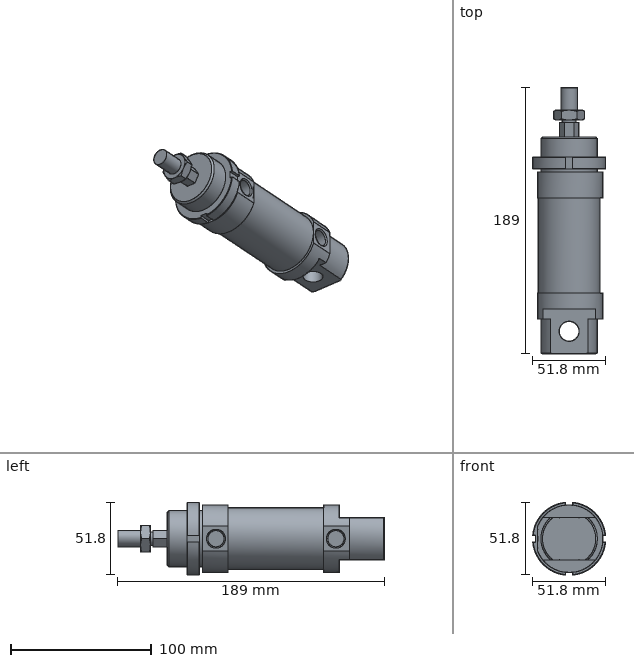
import cadquery as cq
import math

TOTAL_LENGTH = 189.0

TUBE_DIA = 44.0
CAP_DIA = 48.0
CAP_LENGTH = 18.3
REAR_CAP_START = 24.8
FRONT_CAP_START = 110.8
REAR_CAP_END = REAR_CAP_START + CAP_LENGTH
FRONT_CAP_END = FRONT_CAP_START + CAP_LENGTH

NOSE_DIA = 40.0
NOSE_END = 154.0
NOSE_CHAMFER = 1.3

EYE_DIA = NOSE_DIA
EYE_CHAMFER_LENGTH = 0.8
EYE_CHAMFER_DEPTH = 1.1
EYE_THICKNESS = 30.0
EYE_FLAT_LENGTH = 32.0
EYE_HOLE_DIA = 14.0
EYE_HOLE_Y = 16.0

PORT_FLAT_X = 22.3
PORT_DIA = 11.5
PORT_CHAMFER = 1.0
PORT_DEPTH = 9.5
PORT_OFFSET = 8.7

RING_DIA = 52.0
RING_START = 131.2
RING_LENGTH = 8.7
RING_CHAMFER = 0.4
SLOT_COUNT = 4
SLOT_WIDTH = 5.0
SLOT_DEPTH = 2.0

ROD_DIA = 12.0
ROD_HEX_FLATS = 12.0
ROD_HEX_END = 164.2
NECK_DIA = 9.8
THREAD_START = 167.0

NUT_FLATS = 19.0
NUT_START = 166.0
NUT_LENGTH = 7.0
NUT_END = NUT_START + NUT_LENGTH
NUT_CHAMFER_ANGLE = 30.0


def corner_diameter(flats):
    """Diameter over the corners of a hexagon with the given width across flats."""
    return flats / math.cos(math.radians(30))


def xz_plane(y):
    """Plane across the cylinder axis at y, with its normal along +Y."""
    return cq.Workplane(cq.Plane(origin=(0, y, 0), xDir=(1, 0, 0), normal=(0, 1, 0)))


def disc(diameter, start, end):
    """Round bar on the cylinder axis from start to end."""
    return xz_plane(start).circle(diameter / 2).extrude(end - start)


def hexagon(flats, start, end):
    """Hexagonal bar with corners on the X axis and flats facing +Z and -Z."""
    return xz_plane(start).polygon(6, corner_diameter(flats)).extrude(end - start)


def make_port(y):
    """Cutting shape of a blind port with a chamfered mouth, entering from the -X side."""
    bore = cq.Workplane("YZ", origin=(-PORT_FLAT_X, y, 0)).circle(PORT_DIA / 2).extrude(PORT_DEPTH)
    mouth = (
        cq.Workplane("YZ", origin=(-PORT_FLAT_X, y, 0))
        .circle(PORT_DIA / 2 + PORT_CHAMFER)
        .workplane(offset=PORT_CHAMFER)
        .circle(PORT_DIA / 2)
        .loft()
    )
    return bore.union(mouth)


def make_cap(start, port_y):
    """End cap with a flat on the -X side and a port in it."""
    cap = disc(CAP_DIA, start, start + CAP_LENGTH)
    flat = cq.Workplane("XY").box(CAP_DIA, CAP_LENGTH, CAP_DIA, centered=(True, False, True))
    cap = cap.cut(flat.translate((-PORT_FLAT_X - CAP_DIA / 2, start, 0)))
    return cap.cut(make_port(port_y))


def make_eye():
    """Round rear shank with a shallow chamfer on its end face."""
    eye = disc(EYE_DIA, 0, REAR_CAP_START)
    return eye.faces("<Y").chamfer(EYE_CHAMFER_LENGTH, EYE_CHAMFER_DEPTH)


def make_housing():
    """Tube, caps, nose and rear eye as one body."""
    tube = disc(TUBE_DIA, REAR_CAP_END, FRONT_CAP_START)
    nose = disc(NOSE_DIA, FRONT_CAP_END, NOSE_END).faces(">Y").chamfer(NOSE_CHAMFER)
    rear_cap = make_cap(REAR_CAP_START, REAR_CAP_END - PORT_OFFSET)
    front_cap = make_cap(FRONT_CAP_START, FRONT_CAP_START + PORT_OFFSET)
    housing = tube.union(rear_cap).union(front_cap).union(nose).union(make_eye())

    for side in (1, -1):
        cutter = cq.Workplane("XY").box(CAP_DIA, EYE_FLAT_LENGTH, CAP_DIA, centered=(True, False, True))
        housing = housing.cut(cutter.translate((0, 0, side * (EYE_THICKNESS + CAP_DIA) / 2)))

    eye_centre = cq.Workplane("XY", origin=(0, EYE_HOLE_Y, 0))
    eye_hole = eye_centre.circle(EYE_HOLE_DIA / 2).extrude(EYE_THICKNESS / 2, both=True)
    return housing.cut(eye_hole)


def make_ring_nut():
    """Ring nut seated on the nose, with slots at equal angles in its rim."""
    ring = disc(RING_DIA, RING_START, RING_START + RING_LENGTH)
    ring = ring.faces("<Y or >Y").chamfer(RING_CHAMFER)
    ring = ring.cut(disc(NOSE_DIA, RING_START, RING_START + RING_LENGTH))
    slot = (
        cq.Workplane("XY")
        .box(2 * SLOT_DEPTH, RING_LENGTH, SLOT_WIDTH, centered=(True, False, True))
        .translate((RING_DIA / 2, RING_START, 0))
    )
    for index in range(SLOT_COUNT):
        ring = ring.cut(slot.rotate((0, 0, 0), (0, 1, 0), index * 360 / SLOT_COUNT))
    return ring


def make_rod():
    """Piston rod end standing on the nose face."""
    wrench_hex = hexagon(ROD_HEX_FLATS, NOSE_END, ROD_HEX_END)
    neck = disc(NECK_DIA, ROD_HEX_END, THREAD_START)
    thread = disc(ROD_DIA, THREAD_START, TOTAL_LENGTH)
    return wrench_hex.union(neck).union(thread)


def make_lock_nut():
    """Hexagon nut with its corners turned down to a cone at both ends."""
    corner_radius = corner_diameter(NUT_FLATS) / 2
    face_radius = NUT_FLATS / 2
    cone_length = (corner_radius - face_radius) * math.tan(math.radians(NUT_CHAMFER_ANGLE))
    envelope = (
        cq.Workplane("XY")
        .moveTo(0, NUT_START)
        .lineTo(face_radius, NUT_START)
        .lineTo(corner_radius, NUT_START + cone_length)
        .lineTo(corner_radius, NUT_END - cone_length)
        .lineTo(face_radius, NUT_END)
        .lineTo(0, NUT_END)
        .close()
        .revolve(360, (0, 0, 0), (0, 1, 0))
    )
    nut = hexagon(NUT_FLATS, NUT_START, NUT_END).intersect(envelope)
    return nut.cut(disc(ROD_DIA, NUT_START, NUT_END))


housing = make_housing()
ring_nut = make_ring_nut()
rod = make_rod()
lock_nut = make_lock_nut()

result = cq.Compound.makeCompound([housing.val(), ring_nut.val(), rod.val(), lock_nut.val()])